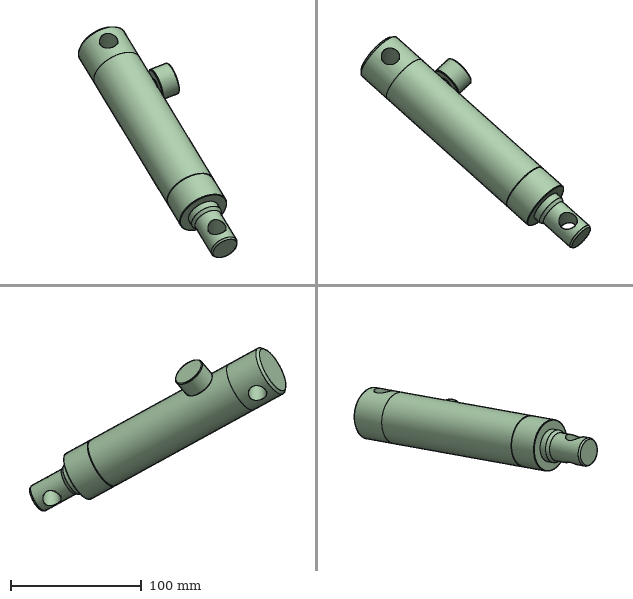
import cadquery as cq

total_length = 218.0
body_diameter = 40.0
body_radius = body_diameter / 2
base_end = 29.0
tube_end = 157.5
gland_end = 180.0

base_chamfer = 2.0

gland_chamfer = 0.5

rod_diameter = 22.0
shoulder_radius = 12.6
shoulder_length = 5.5
rod_radius = rod_diameter / 2
taper_length = 2.6
rod_chamfer_length = 1.5
rod_chamfer_depth = 0.9

pin_hole_diameter = 14.0
base_hole_x = 14.0
rod_hole_x = 204.0

port_x = 54.0
port_diameter = 25.0
port_outer_y = 34.9
port_inner_y = 20.3
port_chamfer = 0.7
neck_diameter = 10.0


def axial_cylinder(start, end):
    """Cylinder of the body diameter between two stations on the X axis."""
    return cq.Workplane("YZ").workplane(offset=start).circle(body_radius).extrude(end - start)


def cross_hole(x):
    """Cutter for a pin hole along Z, longer than the body is thick."""
    return (
        cq.Workplane("XY")
        .center(x, 0)
        .circle(pin_hole_diameter / 2)
        .extrude(body_diameter, both=True)
    )


def port_cylinder(diameter, start, end):
    """Cylinder along +Y on the port axis."""
    plane = cq.Plane(origin=(port_x, start, 0), xDir=(1, 0, 0), normal=(0, 1, 0))
    return cq.Workplane(plane).circle(diameter / 2).extrude(end - start)


def make_base():
    """Solid end cap with a chamfered outer rim and a pin hole."""
    cap = axial_cylinder(0, base_end).faces("<X").chamfer(base_chamfer)
    return cap.cut(cross_hole(base_hole_x))


def make_tube():
    """Main barrel between the base cap and the gland."""
    return axial_cylinder(base_end, tube_end)


def make_gland():
    """Head ring with a small chamfer on each rim."""
    return axial_cylinder(tube_end, gland_end).faces("<X or >X").chamfer(gland_chamfer)


def make_rod():
    """Rod with a shoulder tapering to a chamfered eye end."""
    shoulder_end = gland_end + shoulder_length
    profile = [
        (gland_end, 0),
        (gland_end, shoulder_radius),
        (shoulder_end, shoulder_radius),
        (shoulder_end + taper_length, rod_radius),
        (total_length - rod_chamfer_length, rod_radius),
        (total_length, rod_radius - rod_chamfer_depth),
        (total_length, 0),
    ]
    rod = cq.Workplane("XY").polyline(profile).close().revolve(360, (0, 0, 0), (1, 0, 0))
    return rod.cut(cross_hole(rod_hole_x))


def make_port():
    """Round boss on a narrower neck whose foot follows the tube surface."""
    boss = port_cylinder(port_diameter, port_inner_y, port_outer_y)
    boss = boss.faces("<Y or >Y").chamfer(port_chamfer)
    neck = port_cylinder(neck_diameter, body_radius / 2, port_inner_y)
    return boss.union(neck).cut(axial_cylinder(base_end, tube_end))


base = make_base()
tube = make_tube()
gland = make_gland()
rod = make_rod()
port = make_port()

result = cq.Compound.makeCompound([base.val(), tube.val(), gland.val(), rod.val(), port.val()])